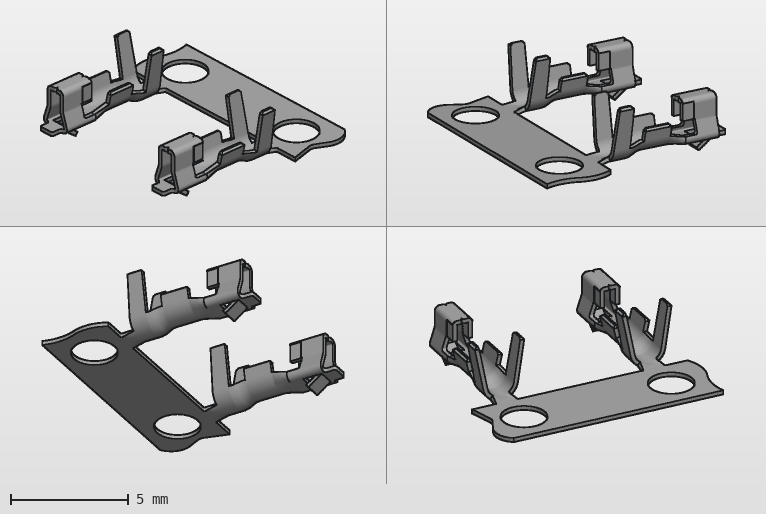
import cadquery as cq
import math

SHEET = 0.2
PITCH = 7.0
TERMINALS = 2
STRIP_WIDTH = 3.2
PILOT_HOLE_DIA = 2.0

LEFT_FOOT = (-1.57, 0)
LEFT_OUTER_BULGE = (-1.83, 0.95)
LEFT_CROSSOVER = (-1.75, 1.5)
LEFT_INNER_BULGE = (-1.545, 2.35)
LEFT_HEAD = (-1.67, STRIP_WIDTH)
RIGHT_HEAD = (1.286, STRIP_WIDTH)
RIGHT_OUTER_BULGE = (1.75, 2.43)
RIGHT_SLOPE_TOP = (1.664, 1.97)
RIGHT_SLOPE_BOTTOM = (1.386, 1.4)
RIGHT_INNER_BULGE = (1.345, 1.21)
RIGHT_FLARE = (1.37, 1.06)
RIGHT_FOOT = (1.67, 0)

INSULATION_START = -0.6
INSULATION_END = -1.4
WIRE_START = -2.15
WIRE_END = -3.45
BOX_BACK = -4.2
BOX_FRONT = -5.86
TONGUE_END = -6.4

NECK_HALF_WIDTH = 0.5
NECK_ROOT_RADIUS = 0.05
NECK_START = -NECK_ROOT_RADIUS

INSULATION_RADIUS = 0.84
INSULATION_BASE = -0.03
INSULATION_LEAN = 10.3
INSULATION_TOP = 2.68
INSULATION_TAPER = 0.1
WIRE_RADIUS = 0.76
WIRE_BASE = 0.2
WIRE_LEAN = 13.0
WIRE_TOP = 1.39
TIP_BEVEL = 0.11
TIP_LAND = 0.07

BOX_BASE = WIRE_BASE
BOX_TOP = 2.19
BOX_FOOT_HALF = 0.83
BOX_NECK_HALF = 0.5
BOX_SHOULDER_Z = 1.19
BEND_INNER = 0.05
BEND_OUTER = BEND_INNER + SHEET
SHOULDER_RADIUS = 0.23
WINDOW_FRONT = -4.8
WINDOW_BOTTOM = 0.6
WINDOW_TOP = 1.23
WINDOW_CORNER_RADIUS = 0.1
PRESSED_FRONT = -4.74
PRESSED_TOP = 2.03
PRESSED_DEPTH = 0.04
SEAM_CORNER_RADIUS = 0.12

TONGUE_HALF_WIDTH = 0.38
TONGUE_ROOT_RADIUS = 0.13
TONGUE_CORNER_RADIUS = 0.1
LANCE_ROOT = -5.71
LANCE_SLOT_FRONT = -5.75
LANCE_ANGLE = 36.0
LANCE_BOTTOM = -0.28


def slab(width, y_front, y_back, z_low, z_high):
    """Box centred on X between the given Y and Z limits."""
    return (
        cq.Workplane("XY")
        .box(width, y_back - y_front, z_high - z_low, centered=(True, False, False))
        .translate((0, y_front, z_low))
    )


def carrier_strip():
    """Flat strip with torn-off wavy ends and one pilot hole per terminal."""
    def at_last_hole(point):
        return (point[0] + (TERMINALS - 1) * PITCH, point[1])

    strip = (
        cq.Workplane("XY")
        .moveTo(*LEFT_FOOT)
        .threePointArc(LEFT_OUTER_BULGE, LEFT_CROSSOVER)
        .threePointArc(LEFT_INNER_BULGE, LEFT_HEAD)
        .lineTo(*at_last_hole(RIGHT_HEAD))
        .threePointArc(at_last_hole(RIGHT_OUTER_BULGE), at_last_hole(RIGHT_SLOPE_TOP))
        .lineTo(*at_last_hole(RIGHT_SLOPE_BOTTOM))
        .threePointArc(at_last_hole(RIGHT_INNER_BULGE), at_last_hole(RIGHT_FLARE))
        .lineTo(*at_last_hole(RIGHT_FOOT))
        .close()
        .extrude(SHEET)
    )
    holes = (
        cq.Workplane("XY")
        .pushPoints([(i * PITCH, STRIP_WIDTH / 2) for i in range(TERMINALS)])
        .circle(PILOT_HOLE_DIA / 2)
        .extrude(SHEET)
    )
    return strip.cut(holes)


def arc_point(radius, centre_z, degrees):
    """Point on a barrel circle, measured from straight down toward +X."""
    angle = math.radians(degrees)
    return (radius * math.sin(angle), centre_z - radius * math.cos(angle))


def mirrored(point):
    return (-point[0], point[1])


def trough_wire(y, outer, inner):
    """Closed trough section at station y.

    outer and inner each list the +X half of a skin from floor middle to rim. The
    mirrored list is joined by arcs through successive point triples, or by a line
    where a triple is level.
    """
    def vector(point):
        return cq.Vector(point[0], y, point[1])

    def skin(half):
        points = [mirrored(point) for point in reversed(half[1:])] + half
        edges = []
        for i in range(0, len(points) - 1, 2):
            start, mid, end = points[i:i + 3]
            if start[1] == mid[1] == end[1]:
                edges.append(cq.Edge.makeLine(vector(start), vector(end)))
            else:
                edges.append(cq.Edge.makeThreePointArc(vector(start), vector(mid), vector(end)))
        return edges

    rim_right = cq.Edge.makeLine(vector(outer[-1]), vector(inner[-1]))
    rim_left = cq.Edge.makeLine(vector(mirrored(inner[-1])), vector(mirrored(outer[-1])))
    return cq.Wire.assembleEdges(skin(outer) + [rim_right] + skin(inner) + [rim_left])


def round_trough(y, radius, base, stops):
    """Section of a round trough; stops are degrees up the side from floor middle to rim."""
    centre_z = base + radius
    outer = [arc_point(radius, centre_z, stop) for stop in stops]
    inner = [arc_point(radius - SHEET, centre_z, stop) for stop in stops]
    return trough_wire(y, outer, inner)


def box_wall_tilt():
    """Inward tilt of the lower box walls from vertical, in degrees."""
    return math.degrees(math.atan2(BOX_FOOT_HALF - BOX_NECK_HALF, BOX_SHOULDER_Z - BOX_BASE))


def box_trough(y):
    """Section of the box floor and its rounded lower corners."""
    tilt = box_wall_tilt()
    corner_x = BOX_FOOT_HALF - BEND_OUTER / math.tan(math.radians((90 - tilt) / 2))
    corner_z = BOX_BASE + BEND_OUTER
    sweep = 90 + tilt

    def skin(radius):
        side = arc_point(radius, corner_z, sweep / 2)
        tangent = arc_point(radius, corner_z, sweep)
        wall_run = WINDOW_BOTTOM - tangent[1]
        rim = (corner_x + tangent[0] - wall_run * math.tan(math.radians(tilt)), WINDOW_BOTTOM)
        floor_z = corner_z - radius
        return [(0, floor_z), (corner_x, floor_z), (corner_x + side[0], side[1]), rim]

    return trough_wire(y, skin(BEND_OUTER), skin(BEND_INNER))


def loft(wires):
    return cq.Workplane(obj=cq.Solid.makeLoft(wires))


def neck():
    """Strip-to-crimp neck that curls from flat into the barrel curve."""
    root_half = NECK_HALF_WIDTH + NECK_ROOT_RADIUS
    root = (
        cq.Workplane("XY")
        .moveTo(-root_half, 0)
        .radiusArc((-NECK_HALF_WIDTH, NECK_START), NECK_ROOT_RADIUS)
        .lineTo(NECK_HALF_WIDTH, NECK_START)
        .radiusArc((root_half, 0), NECK_ROOT_RADIUS)
        .close()
        .extrude(SHEET)
    )
    rim = math.degrees(math.asin(NECK_HALF_WIDTH / INSULATION_RADIUS))
    flat = trough_wire(
        NECK_START,
        [(0, 0), (NECK_HALF_WIDTH, 0)],
        [(0, SHEET), (NECK_HALF_WIDTH, SHEET)],
    )
    curled = round_trough(INSULATION_START, INSULATION_RADIUS, INSULATION_BASE, (0, rim))
    return root.union(loft([flat, curled]))


def crimp(y_back, y_front, radius, base, lean, top, back_taper):
    """U-shaped crimp barrel with straight, outward-leaning, bevelled wings."""
    centre_z = base + radius
    slope = math.tan(math.radians(lean))
    inner_radius = radius - SHEET
    outer_rim = arc_point(radius, centre_z, 90 - lean)
    inner_rim = arc_point(inner_radius, centre_z, 90 - lean)
    bevel_z = top - TIP_BEVEL
    outer_tip = (outer_rim[0] + (bevel_z - outer_rim[1]) * slope, bevel_z)
    inner_tip = (inner_rim[0] + (top - inner_rim[1]) * slope, top)
    land_edge = (inner_tip[0] + TIP_LAND, top - TIP_LAND * slope)
    profile = (
        cq.Workplane("XZ", origin=(0, y_back, 0))
        .moveTo(*mirrored(outer_tip))
        .lineTo(*mirrored(outer_rim))
        .threePointArc((0, base), outer_rim)
        .lineTo(*outer_tip)
        .lineTo(*land_edge)
        .lineTo(*inner_tip)
        .lineTo(*inner_rim)
        .threePointArc((0, base + SHEET), mirrored(inner_rim))
        .lineTo(*mirrored(inner_tip))
        .lineTo(*mirrored(land_edge))
        .close()
        .extrude(y_back - y_front)
    )
    side_outline = (
        cq.Workplane("YZ")
        .moveTo(y_front, base)
        .lineTo(y_back, base)
        .lineTo(y_back, outer_rim[1])
        .lineTo(y_back - back_taper, bevel_z)
        .lineTo(y_back - back_taper - TIP_BEVEL, top)
        .lineTo(y_front + TIP_BEVEL, top)
        .lineTo(y_front, bevel_z)
        .close()
        .extrude(outer_tip[0], both=True)
    )
    return profile.intersect(side_outline)


def crimp_web():
    """S-shaped step joining the two crimp barrels."""
    shares = [(0, 0), (0.25, 0.12), (0.5, 0.5), (0.75, 0.88), (1, 1)]

    def blend(start, end, fraction):
        return start + (end - start) * fraction

    wires = []
    for along, change in shares:
        rim = 90 - blend(INSULATION_LEAN, WIRE_LEAN, change)
        wires.append(round_trough(
            blend(INSULATION_END, WIRE_START, along),
            blend(INSULATION_RADIUS, WIRE_RADIUS, change),
            blend(INSULATION_BASE, WIRE_BASE, change),
            (0, rim),
        ))
    return loft(wires)


def box_web():
    """Transition from the round wire barrel to the flat-floored box."""
    rim = 90 - WIRE_LEAN
    stops = (0, rim / 2, rim * 3 / 4, rim)
    return loft([round_trough(WIRE_END, WIRE_RADIUS, WIRE_BASE, stops), box_trough(BOX_BACK)])


def box_prism(points, foot_radius, shoulder_radius, roof_radius):
    """Box-length prism from the +X corners (foot, shoulder, roof), with rounded bends."""
    outline = points + [mirrored(point) for point in reversed(points)]
    prism = (
        cq.Workplane("XZ", origin=(0, BOX_BACK, 0))
        .polyline(outline)
        .close()
        .extrude(BOX_BACK - BOX_FRONT)
    )
    for (x, z), radius in zip(points, (foot_radius, shoulder_radius, roof_radius)):
        for corner_x in (x, -x):
            near_corner = cq.selectors.NearestToPointSelector((corner_x, (BOX_BACK + BOX_FRONT) / 2, z))
            prism = prism.edges("|Y").edges(near_corner).fillet(radius)
    return prism


def contact_box():
    """Folded tube with side windows, pressed-in rear walls and notched roof ends."""
    tilt = math.radians(box_wall_tilt())
    foot_shift = SHEET * math.tan(math.radians(45) + tilt / 2)
    shoulder_drop = SHEET * math.tan(tilt / 2)
    outer_points = [
        (BOX_FOOT_HALF, BOX_BASE),
        (BOX_NECK_HALF, BOX_SHOULDER_Z),
        (BOX_NECK_HALF, BOX_TOP),
    ]
    inner_half = BOX_NECK_HALF - SHEET
    inner_points = [
        (BOX_FOOT_HALF - foot_shift, BOX_BASE + SHEET),
        (inner_half, BOX_SHOULDER_Z - shoulder_drop),
        (inner_half, BOX_TOP - SHEET),
    ]
    outer = box_prism(outer_points, BEND_OUTER, SHOULDER_RADIUS, BEND_OUTER)
    inner = box_prism(inner_points, BEND_INNER, SHOULDER_RADIUS + SHEET, BEND_INNER)
    box = outer.cut(inner)

    box_width = 2 * BOX_FOOT_HALF
    window = slab(box_width, WINDOW_FRONT, BOX_BACK, WINDOW_BOTTOM, WINDOW_TOP)
    window = window.edges("|X and <Y and <Z").fillet(WINDOW_CORNER_RADIUS)
    box = box.cut(window)

    pressed_half = BOX_NECK_HALF - PRESSED_DEPTH
    pressed_inner = inner_half - PRESSED_DEPTH
    rear = (PRESSED_FRONT, BOX_BACK)
    shaved = slab(box_width, *rear, WINDOW_TOP, PRESSED_TOP).cut(
        slab(2 * pressed_half, *rear, WINDOW_TOP, PRESSED_TOP)
    )
    liner = slab(2 * inner_half, *rear, WINDOW_TOP, BOX_TOP - SHEET).cut(
        slab(2 * pressed_inner, *rear, WINDOW_TOP, BOX_TOP - SHEET)
    )
    box = box.cut(shaved).union(liner)

    for y_end, inward in ((BOX_FRONT, 1), (BOX_BACK, -1)):
        cusp_y = y_end + inward * SEAM_CORNER_RADIUS
        turn = inward * SEAM_CORNER_RADIUS
        notch = (
            cq.Workplane("XY", origin=(0, 0, BOX_TOP - SHEET))
            .moveTo(-SEAM_CORNER_RADIUS, y_end)
            .radiusArc((0, cusp_y), -turn)
            .radiusArc((SEAM_CORNER_RADIUS, y_end), -turn)
            .close()
            .extrude(SHEET)
        )
        box = box.cut(notch)
    return box


def tongue():
    """Flat tongue beyond the box front, with flared root and rounded corners."""
    root_half = TONGUE_HALF_WIDTH + TONGUE_ROOT_RADIUS
    root_end = BOX_FRONT - TONGUE_ROOT_RADIUS
    return (
        cq.Workplane("XY", origin=(0, 0, BOX_BASE))
        .moveTo(-root_half, BOX_FRONT)
        .radiusArc((-TONGUE_HALF_WIDTH, root_end), TONGUE_ROOT_RADIUS)
        .lineTo(-TONGUE_HALF_WIDTH, TONGUE_END)
        .lineTo(TONGUE_HALF_WIDTH, TONGUE_END)
        .lineTo(TONGUE_HALF_WIDTH, root_end)
        .radiusArc((root_half, BOX_FRONT), TONGUE_ROOT_RADIUS)
        .close()
        .extrude(SHEET)
        .edges("|Z and <Y")
        .fillet(TONGUE_CORNER_RADIUS)
    )


def lance_slot():
    """Opening left in the box floor where the lance is bent out."""
    return slab(2 * TONGUE_HALF_WIDTH, LANCE_SLOT_FRONT, WINDOW_FRONT, BOX_BASE, BOX_BASE + SHEET)


def lance():
    """Locking lance bent down and backward out of the box floor."""
    angle = math.radians(LANCE_ANGLE)
    floor_top = BOX_BASE + SHEET
    tip_y = LANCE_ROOT + (BOX_BASE - LANCE_BOTTOM) / math.tan(angle)
    upper_tip = (tip_y + SHEET * math.sin(angle), LANCE_BOTTOM + SHEET * math.cos(angle))
    upper_root_y = upper_tip[0] - (floor_top - upper_tip[1]) / math.tan(angle)
    return (
        cq.Workplane("YZ")
        .moveTo(LANCE_SLOT_FRONT, BOX_BASE)
        .lineTo(LANCE_ROOT, BOX_BASE)
        .lineTo(tip_y, LANCE_BOTTOM)
        .lineTo(*upper_tip)
        .lineTo(upper_root_y, floor_top)
        .lineTo(LANCE_SLOT_FRONT, floor_top)
        .close()
        .extrude(TONGUE_HALF_WIDTH, both=True)
    )


def terminal():
    """One crimp terminal, from its neck to the tip of its tongue."""
    insulation_crimp = crimp(
        INSULATION_START, INSULATION_END, INSULATION_RADIUS, INSULATION_BASE,
        INSULATION_LEAN, INSULATION_TOP, INSULATION_TAPER,
    )
    wire_crimp = crimp(WIRE_START, WIRE_END, WIRE_RADIUS, WIRE_BASE, WIRE_LEAN, WIRE_TOP, 0)
    return (
        neck()
        .union(insulation_crimp)
        .union(crimp_web())
        .union(wire_crimp)
        .union(box_web())
        .union(contact_box().cut(lance_slot()))
        .union(lance())
        .union(tongue())
    )


contact = terminal()
result = carrier_strip()
for index in range(TERMINALS):
    result = result.union(contact.translate((index * PITCH, 0, 0)))